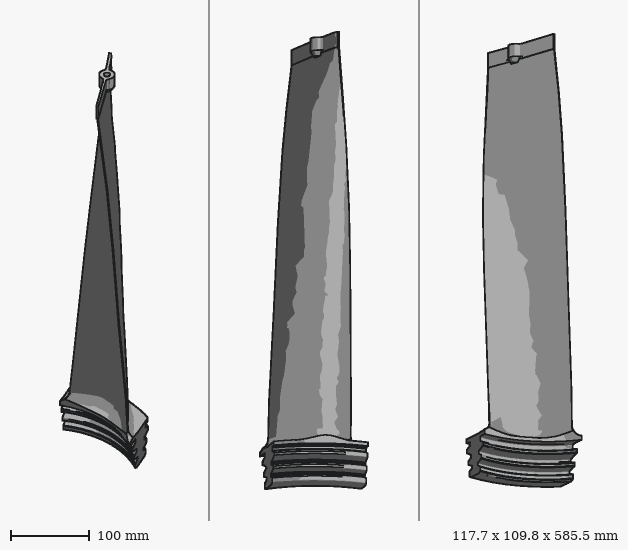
import cadquery as cq
import math


total_height = 585.5
root_width = 116.0
half_width = root_width / 2

root_arc_radius = 133.0
root_arc_center_x = -32.5
root_arc_center_y = -124.0
platform_bottom = 49.0
platform_top = 54.0
fir_tree_flank = [
    (15.0, platform_bottom),
    (12.0, 48.0),
    (12.0, 43.0),
    (18.7, 39.5),
    (18.7, 35.0),
    (9.0, 29.8),
    (9.0, 26.5),
    (15.2, 23.0),
    (15.2, 18.5),
    (6.7, 14.5),
    (6.7, 11.5),
    (12.6, 8.5),
    (12.6, 2.5),
    (9.5, 0.0),
]
fir_tree_rounding = 1.2

platform_outer_radius = 143.0
platform_outer_apex = (-32.5, 29.3)
platform_inner_radius = 121.8
platform_inner_apex = (-40.0, -15.5)

fillet_radius = 15.0
fillet_steps = 4
airfoil_bottom = platform_top + fillet_radius
tip_plate_height = 20.0
tip_plate_bottom = total_height - tip_plate_height
blade_edge_thickness = 1.5
convex_side = [
    (0.0, 0.0),
    (0.03, 0.20),
    (0.16, 0.41),
    (0.34, 0.45),
    (0.54, 0.37),
    (0.75, 0.23),
    (0.9, 0.1),
    (1.0, 0.0),
]
concave_side = [
    (0.0, 0.0),
    (0.12, 0.09),
    (0.28, 0.19),
    (0.42, 0.24),
    (0.53, 0.25),
    (0.65, 0.22),
    (0.8, 0.14),
    (1.0, 0.0),
]
tip_convex_scale = 0.05
tip_concave_scale = 0.04
convex_decay = 0.8
concave_decay = 1.1
stations = [
    (airfoil_bottom, (-46.6, -11.0), (51.0, -52.5)),
    (162.0, (-42.6, 2.0), (46.5, -56.0)),
    (257.0, (-38.3, 14.0), (40.3, -59.5)),
    (353.0, (-33.0, 26.0), (35.0, -62.0)),
    (448.0, (-26.0, 34.2), (28.2, -64.7)),
    (tip_plate_bottom, (-14.6, 42.0), (15.2, -66.2)),
]

tip_plate_thickness = 2.8
tip_leading_edge = (-13.7, 42.6)
tip_trailing_edge = (14.7, -66.2)
boss_radius = 10.0
boss_height = 17.0
boss_nose_radius = 6.0
boss_nose_height = 6.5
boss_fillet = 5.5
pilot_diameter = 3.0
pilot_depth = 10.0
center_diameter = 8.0
center_half_angle = math.radians(30)
center_depth = (center_diameter - pilot_diameter) / 2 / math.tan(center_half_angle)


def airfoil_wire(height, leading, trailing, convex_scale, concave_scale, edge_thickness, grow=0.0):
    """Closed airfoil outline on a chord, pushed outward all round by grow."""
    dx = trailing[0] - leading[0]
    dy = trailing[1] - leading[1]
    chord = math.hypot(dx, dy)

    def side_points(side, scale, edge_offset):
        points = []
        for along, bulge in side:
            offset = bulge * scale * chord + edge_offset
            points.append(
                (
                    leading[0] + along * dx - offset * dy / chord,
                    leading[1] + along * dy + offset * dx / chord,
                )
            )
        return points

    convex = side_points(convex_side, convex_scale, edge_thickness / 2)
    concave = side_points(concave_side, concave_scale, -edge_thickness / 2)
    loop = convex + concave[::-1]

    def outward(start, end):
        length = math.hypot(end[0] - start[0], end[1] - start[1])
        return (start[1] - end[1]) / length, (end[0] - start[0]) / length

    grown = []
    for i, (x, y) in enumerate(loop):
        x_in, y_in = outward(loop[i - 1], (x, y))
        x_out, y_out = outward((x, y), loop[(i + 1) % len(loop)])
        mitre = grow / (1 + x_in * x_out + y_in * y_out)
        grown.append(cq.Vector(x + mitre * (x_in + x_out), y + mitre * (y_in + y_out), height))
    convex_points = grown[: len(convex)]
    concave_points = grown[len(convex) :]
    edges = [
        cq.Edge.makeSpline(convex_points),
        cq.Edge.makeLine(convex_points[-1], concave_points[0]),
        cq.Edge.makeSpline(concave_points),
        cq.Edge.makeLine(concave_points[-1], convex_points[0]),
    ]
    return cq.Wire.assembleEdges(edges)


def make_root():
    """Fir-tree profile revolved about the arc axis and cut flat at both ends."""
    outer = [(root_arc_radius + w, z) for w, z in fir_tree_flank]
    inner = [(root_arc_radius - w, z) for w, z in reversed(fir_tree_flank)]
    ring = cq.Workplane("XZ").polyline(outer + inner).close().revolve(360, (0, 0), (0, 1))
    ring = ring.faces("not >Z").edges("%CIRCLE").edges("not >Z").fillet(fir_tree_rounding)
    ring = ring.translate((root_arc_center_x, root_arc_center_y, 0))
    depth = 2 * root_arc_radius
    ends = cq.Workplane("XY").box(root_width, depth, platform_bottom, centered=(True, True, False))
    return ring.intersect(ends)


def platform_prism(height):
    """Prism over the platform outline, standing on the platform underside."""

    def arc_y(x, radius, apex):
        return apex[1] - radius + math.sqrt(radius**2 - (x - apex[0]) ** 2)

    def outer(x):
        return (x, arc_y(x, platform_outer_radius, platform_outer_apex))

    def inner(x):
        return (x, arc_y(x, platform_inner_radius, platform_inner_apex))

    return (
        cq.Workplane("XY", origin=(0, 0, platform_bottom))
        .moveTo(*outer(-half_width))
        .threePointArc(outer(0), outer(half_width))
        .lineTo(*inner(half_width))
        .threePointArc(inner(0), inner(-half_width))
        .close()
        .extrude(height)
    )


def make_platform():
    """Platform with the concave blade fillet, which runs out at the platform edges."""
    plate = platform_prism(platform_top - platform_bottom)
    _, leading, trailing = stations[0]
    wires = []
    for i in range(fillet_steps + 1):
        angle = math.pi / 2 * i / fillet_steps
        height = platform_top + fillet_radius * (1 - math.cos(angle))
        grow = fillet_radius * (1 - math.sin(angle))
        wires.append(airfoil_wire(height, leading, trailing, 1.0, 1.0, blade_edge_thickness, grow))
    flare = cq.Workplane(cq.Solid.makeLoft(wires))
    return plate.union(flare.intersect(platform_prism(airfoil_bottom - platform_bottom)))


def faded_scale(rise, tip_scale, decay):
    """Scale of an airfoil side at a fraction of the blade height: 1 at the root, tip_scale at the tip."""
    return tip_scale + (1 - tip_scale) * (1 - rise) ** decay


def make_airfoil():
    """Twisted blade, lofted through the stations while its sides flatten toward the tip."""
    wires = []
    for height, leading, trailing in stations:
        rise = (height - airfoil_bottom) / (tip_plate_bottom - airfoil_bottom)
        convex_scale = faded_scale(rise, tip_convex_scale, convex_decay)
        concave_scale = faded_scale(rise, tip_concave_scale, concave_decay)
        wires.append(
            airfoil_wire(height, leading, trailing, convex_scale, concave_scale, blade_edge_thickness)
        )
    return cq.Workplane(cq.Solid.makeLoft(wires))


def make_tip():
    """Straight tip plate with a boss filleted into its sides."""
    outline = airfoil_wire(
        tip_plate_bottom,
        tip_leading_edge,
        tip_trailing_edge,
        tip_concave_scale,
        tip_concave_scale,
        tip_plate_thickness,
    )
    plate = cq.Workplane(cq.Solid.extrudeLinear(outline, [], cq.Vector(0, 0, tip_plate_height)))
    boss_bottom = total_height - boss_height
    boss = cq.Workplane("XY", origin=(0, 0, boss_bottom)).circle(boss_radius).extrude(boss_height)
    middle = total_height - boss_height / 2
    corner_box = cq.selectors.BoxSelector(
        (-boss_radius, -boss_radius, middle - 1), (boss_radius, boss_radius, middle + 1)
    )
    tip = plate.union(boss).edges(corner_box).fillet(boss_fillet)
    nose_base = cq.Vector(0, 0, boss_bottom - boss_nose_height)
    nose = cq.Solid.makeCone(boss_nose_radius, boss_radius, boss_nose_height, nose_base)
    return tip.union(cq.Workplane(nose))


def center_hole():
    """Centre-drilled hole in the top of the boss."""
    pilot = cq.Workplane("XY", origin=(0, 0, total_height)).circle(pilot_diameter / 2).extrude(-pilot_depth)
    cone_base = cq.Vector(0, 0, total_height - center_depth)
    cone = cq.Solid.makeCone(pilot_diameter / 2, center_diameter / 2, center_depth, cone_base)
    return pilot.union(cq.Workplane(cone))


result = make_root().union(make_platform()).union(make_airfoil()).union(make_tip()).cut(center_hole())